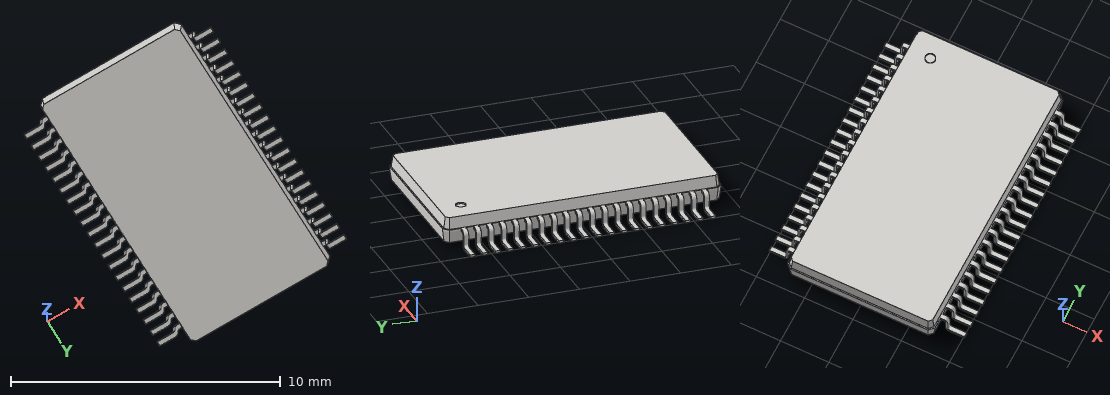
import cadquery as cq
import math

body_length = 11.0
body_width = 6.1
lead_span = 8.1
total_height = 1.2

standoff = 0.2
belt_corner_chamfer = 0.2
ledge_width = 0.05
draft_inset = 0.07

mark_diameter = 0.4
mark_depth = 0.05
mark_x = -2.02
mark_y = 4.48

pins_per_side = 20
pin_row_length = 9.5
pin_width = 0.2
lead_thickness = 0.1
shank_outer_x = 3.35
bend_inner_radius = 0.1
lead_embedment = 0.22

belt_bottom = (standoff + total_height - lead_thickness) / 2
belt_top = belt_bottom + lead_thickness
half_height = belt_bottom - standoff
draft_angle = math.degrees(math.atan2(draft_inset, half_height))
bend_outer_radius = bend_inner_radius + lead_thickness
pin_pitch = pin_row_length / (pins_per_side - 1)


def body_outline(z, inset):
    """Rectangle with chamfered corners, set in evenly from the belt outline."""
    chamfer = belt_corner_chamfer - inset * (2 - math.sqrt(2))
    return (
        cq.Sketch()
        .rect(body_width - 2 * inset, body_length - 2 * inset)
        .vertices()
        .chamfer(chamfer)
        .moved(cq.Location(cq.Vector(0, 0, z)))
    )


def make_body():
    belt = cq.Workplane("XY").placeSketch(body_outline(belt_bottom, 0)).extrude(lead_thickness)
    upper = (
        cq.Workplane("XY")
        .placeSketch(body_outline(belt_top, ledge_width))
        .extrude(total_height - belt_top, taper=draft_angle)
    )
    lower = (
        cq.Workplane("XY")
        .placeSketch(body_outline(belt_bottom, 0))
        .extrude(-half_height, taper=draft_angle)
    )
    mark = (
        cq.Workplane("XY")
        .workplane(offset=total_height - mark_depth)
        .center(mark_x, mark_y)
        .circle(mark_diameter / 2)
        .extrude(mark_depth)
    )
    return belt.union(upper).union(lower).cut(mark)


def make_lead():
    """One lead on the +X side, centred on Y = 0."""
    root_x = body_width / 2 - lead_embedment
    tip_x = lead_span / 2
    shank_inner_x = shank_outer_x - lead_thickness
    shoulder_x = shank_outer_x - bend_outer_radius
    shoulder_z = belt_top - bend_outer_radius
    heel_x = shank_inner_x + bend_outer_radius
    heel_z = bend_outer_radius
    return (
        cq.Workplane("XZ")
        .moveTo(root_x, belt_top)
        .lineTo(shoulder_x, belt_top)
        .radiusArc((shank_outer_x, shoulder_z), bend_outer_radius)
        .lineTo(shank_outer_x, heel_z)
        .radiusArc((heel_x, lead_thickness), -bend_inner_radius)
        .lineTo(tip_x, lead_thickness)
        .lineTo(tip_x, 0)
        .lineTo(heel_x, 0)
        .radiusArc((shank_inner_x, heel_z), bend_outer_radius)
        .lineTo(shank_inner_x, shoulder_z)
        .radiusArc((shoulder_x, belt_bottom), -bend_inner_radius)
        .lineTo(root_x, belt_bottom)
        .close()
        .extrude(pin_width / 2, both=True)
    )


right_lead = make_lead()
left_lead = right_lead.mirror("YZ")
result = make_body()
for pin in range(pins_per_side):
    pin_y = pin * pin_pitch - pin_row_length / 2
    for lead in (right_lead, left_lead):
        result = result.union(lead.translate((0, pin_y, 0)))